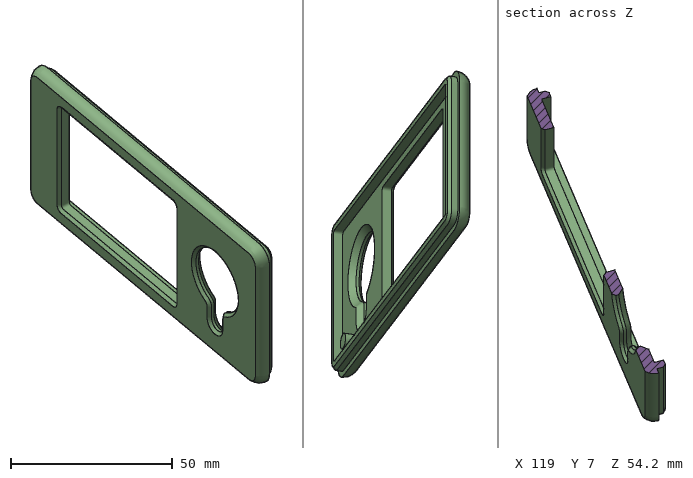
import cadquery as cq
import math


plate_length = 119.0
plate_height = 54.2
plate_thickness = 4.0
plate_corner_radius = 5.5
front_bevel = 2.0
front_bevel_blend = 4.0

total_depth = 7.0
frame_inset = 1.8
frame_wall = 2.8
frame_back_chamfer = 1.0

opening_chamfer = 1.0

window_length = 59.3
window_height = 40.2
window_corner_radius = 1.0
window_left_margin = 16.5

keyhole_x = 36.8
keyhole_z = 2.7
keyhole_radius = 11.0
keyhole_slot_half_width = 3.0
keyhole_slot_drop = 17.0
keyhole_neck_radius = 3.0
keyhole_back_chamfer = 2.0

peg_diameter = 5.0
peg_x = 45.6
peg_z = -19.6

position_tolerance = 1e-6

window_x = -plate_length / 2 + window_left_margin + window_length / 2
frame_depth = total_depth - plate_thickness
frame_length = plate_length - 2 * frame_inset
frame_height = plate_height - 2 * frame_inset
frame_corner_radius = plate_corner_radius - frame_inset


def rounded_block(length, height, corner_radius, front_y, depth):
    """Block with rounded corners in the XZ plane, reaching from front_y towards +Y."""
    block = cq.Workplane("XZ", origin=(0, front_y, 0)).rect(length, height).extrude(-depth)
    return block.edges("|Y").fillet(corner_radius)


def make_plate():
    """Front plate with a bevelled rim that blends into the side walls."""
    plate = rounded_block(plate_length, plate_height, plate_corner_radius, 0, plate_thickness)
    plate = plate.faces("<Y").chamfer(front_bevel)
    rim_edges = [
        edge
        for edge in plate.edges("not |Y").vals()
        if abs(edge.startPoint().y - front_bevel) < position_tolerance
        and abs(edge.endPoint().y - front_bevel) < position_tolerance
    ]
    return plate.newObject(rim_edges).fillet(front_bevel_blend)


def make_frame():
    """Solid frame block behind the plate, chamfered at the back."""
    frame = rounded_block(frame_length, frame_height, frame_corner_radius, plate_thickness, frame_depth)
    return frame.faces(">Y").chamfer(frame_back_chamfer)


def make_cavity():
    """Space inside the frame, open at the back."""
    return rounded_block(
        frame_length - 2 * frame_wall,
        frame_height - 2 * frame_wall,
        frame_corner_radius - frame_wall,
        plate_thickness,
        frame_depth,
    )


def make_window():
    """Rectangular opening left of the keyhole."""
    window = rounded_block(window_length, window_height, window_corner_radius, 0, plate_thickness)
    return window.translate((window_x, 0, 0))


def make_keyhole():
    """Round opening with a round-ended slot below it and rounded neck corners."""
    neck_x = keyhole_slot_half_width + keyhole_neck_radius
    neck_reach = keyhole_radius + keyhole_neck_radius
    neck_z = -math.sqrt(neck_reach**2 - neck_x**2)
    neck_angle = math.atan2(-neck_z, neck_x)
    round_x = keyhole_radius * math.cos(neck_angle)
    round_z = -keyhole_radius * math.sin(neck_angle)
    neck_mid_angle = math.pi - neck_angle / 2
    neck_mid_x = neck_x + keyhole_neck_radius * math.cos(neck_mid_angle)
    neck_mid_z = neck_z + keyhole_neck_radius * math.sin(neck_mid_angle)
    half_width = keyhole_slot_half_width
    slot_end_z = -keyhole_slot_drop
    outline = (
        cq.Workplane("XZ", origin=(keyhole_x, 0, keyhole_z))
        .moveTo(round_x, round_z)
        .threePointArc((0, keyhole_radius), (-round_x, round_z))
        .threePointArc((-neck_mid_x, neck_mid_z), (-half_width, neck_z))
        .lineTo(-half_width, slot_end_z)
        .threePointArc((0, slot_end_z - half_width), (half_width, slot_end_z))
        .lineTo(half_width, neck_z)
        .threePointArc((neck_mid_x, neck_mid_z), (round_x, round_z))
        .close()
    )
    return outline.extrude(-plate_thickness)


def make_peg():
    """Peg standing on the back of the plate, level with the frame's back edge."""
    peg = cq.Workplane("XZ", origin=(peg_x, plate_thickness, peg_z)).circle(peg_diameter / 2)
    return peg.extrude(-frame_depth)


def opening_edges(body, face_y, min_x):
    """Edges of the openings in the plate face at face_y that lie beyond min_x."""
    return [
        edge
        for face in body.faces("|Y").vals()
        if abs(face.Center().y - face_y) < position_tolerance
        for wire in face.innerWires()
        if wire.Center().x > min_x
        for edge in wire.Edges()
    ]


def chamfer_openings(body):
    """Bevel both openings at the front and the keyhole at the back as well."""
    front_edges = opening_edges(body, 0, -plate_length)
    body = body.newObject(front_edges).chamfer(opening_chamfer)
    keyhole_back_edges = opening_edges(body, plate_thickness, window_x + window_length / 2)
    return body.newObject(keyhole_back_edges).chamfer(keyhole_back_chamfer)


body = make_plate().union(make_frame()).cut(make_cavity())
body = body.cut(make_window()).cut(make_keyhole())
result = chamfer_openings(body).union(make_peg())